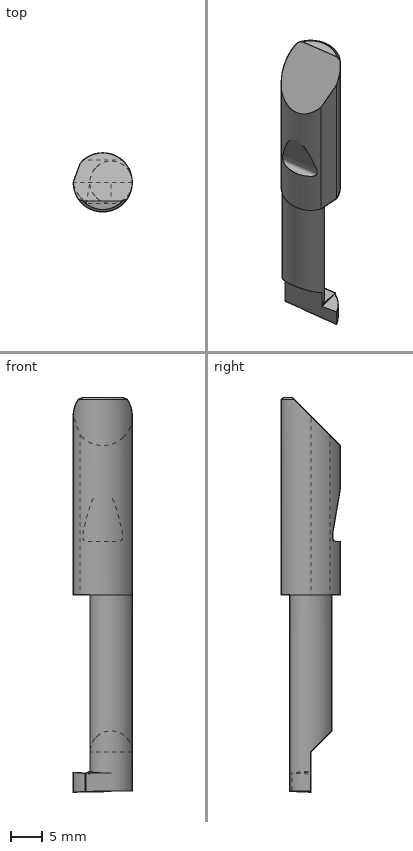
import cadquery as cq
import math

SHANK_DIAMETER = 9.525
SHANK_RADIUS = SHANK_DIAMETER / 2
SHANK_LENGTH = 31.75
OVERALL_LENGTH = 63.5
RIM_CHAMFER_RADIAL = 0.4
RIM_CHAMFER_HEIGHT = 0.3
FLAT_TILT = 20.0
BEVEL_START_Y = -2.98

NOTCH_FLOOR_HEIGHT = 8.6
NOTCH_DEPTH = 1.2
NOTCH_WALL_LENGTH = 1.4
NOTCH_TAPER_LENGTH = 7.0
NOTCH_CORNER_RADIUS = 0.5

NECK_DIAMETER = 6.83
NECK_RADIUS = NECK_DIAMETER / 2
NECK_CENTER_X = SHANK_RADIUS - NECK_RADIUS
NECK_END_GAP = 0.2
RELIEF_HEIGHT = 6.45

HEAD_WIDTH = 3.1
FLANK_RADIUS = SHANK_RADIUS
FLANK_END = (-2.86, -3.05)
FRONT_CORNER_X = -2.66
TIP_TOP_RISE = 0.1
LAND_TOP_DROP = 0.15
ROOT_TOP_RISE = 0.3
TIP_BOTTOM_RELIEF = 0.05
CORNER_BOTTOM_RELIEF = 0.15

SHANK_BOTTOM_Z = OVERALL_LENGTH - SHANK_LENGTH
MARGIN = 1.0


def side_prism(points):
    """Prism along X, wider than the part, over a polygon given in (Y, Z)."""
    return cq.Workplane("YZ").polyline(points).close().extrude(SHANK_DIAMETER, both=True)


def shank():
    body = cq.Workplane("XY").workplane(offset=SHANK_BOTTOM_Z).circle(SHANK_RADIUS).extrude(SHANK_LENGTH)
    body = body.faces(">Z").chamfer(RIM_CHAMFER_HEIGHT, RIM_CHAMFER_RADIAL)
    return body.cut(flat_cutter()).cut(bevel_cutter()).cut(notch_cutter())


def flat_cutter():
    """Block whose inner face cuts a flat running from Y = 0 towards +Y on the -X side."""
    flat_distance = SHANK_RADIUS * math.cos(math.radians(FLAT_TILT))
    block = cq.Workplane("XY").box(
        SHANK_RADIUS, SHANK_DIAMETER, SHANK_LENGTH + 2 * MARGIN, centered=(False, True, False)
    )
    block = block.translate((flat_distance, 0, SHANK_BOTTOM_Z - MARGIN))
    return block.rotate((0, 0, 0), (0, 0, 1), 180 - FLAT_TILT)


def bevel_cutter():
    run = SHANK_RADIUS + MARGIN - BEVEL_START_Y
    far_y = BEVEL_START_Y + run
    return side_prism(
        [
            (BEVEL_START_Y - MARGIN, OVERALL_LENGTH + MARGIN),
            (far_y, OVERALL_LENGTH + MARGIN),
            (far_y, OVERALL_LENGTH - run),
        ]
    )


def notch_cutter():
    floor_z = SHANK_BOTTOM_Z + NOTCH_FLOOR_HEIGHT
    bottom_y = SHANK_RADIUS - NOTCH_DEPTH
    wall_top_z = floor_z + NOTCH_WALL_LENGTH
    cutter = side_prism(
        [
            (SHANK_RADIUS + MARGIN, floor_z),
            (bottom_y, floor_z),
            (bottom_y, wall_top_z),
            (SHANK_RADIUS, wall_top_z + NOTCH_TAPER_LENGTH),
            (SHANK_RADIUS + MARGIN, wall_top_z + NOTCH_TAPER_LENGTH),
        ]
    )
    corner = cq.selectors.NearestToPointSelector((0, bottom_y, floor_z))
    return cutter.edges(corner).fillet(NOTCH_CORNER_RADIUS)


def neck():
    body = (
        cq.Workplane("XY")
        .workplane(offset=NECK_END_GAP)
        .center(NECK_CENTER_X, 0)
        .circle(NECK_RADIUS)
        .extrude(SHANK_BOTTOM_Z - NECK_END_GAP)
    )
    runout = NECK_RADIUS + MARGIN
    relief = side_prism([(0, -MARGIN), (runout, -MARGIN), (runout, RELIEF_HEIGHT + runout), (0, RELIEF_HEIGHT)])
    return body.cut(relief)


def beyond_plane(first, second, third):
    """Box, wider than the head, on the side of a plane from which its three points run anticlockwise."""
    origin = cq.Vector(*first)
    along = cq.Vector(*second) - origin
    normal = along.cross(cq.Vector(*third) - origin)
    plane = cq.Plane(origin=first, xDir=along.toTuple(), normal=normal.toTuple())
    reach = 2 * SHANK_DIAMETER
    return cq.Workplane(plane).rect(2 * reach, 2 * reach).extrude(reach)


def cutting_head():
    """Tip land and root side by side, each with its own sloping top, over a relieved bottom."""
    tip = (-SHANK_RADIUS, 0)
    corner = (FRONT_CORNER_X, -NECK_RADIUS)
    front_end = (NECK_CENTER_X, -NECK_RADIUS)
    neck_edge = (NECK_CENTER_X - NECK_RADIUS, 0)
    stock_height = HEAD_WIDTH + MARGIN

    land = cq.Workplane("XY").moveTo(*neck_edge).lineTo(*tip).radiusArc(FLANK_END, -FLANK_RADIUS)
    land = land.lineTo(*corner).close().extrude(stock_height)
    land_top = beyond_plane(
        (*tip, HEAD_WIDTH + TIP_TOP_RISE),
        (*corner, HEAD_WIDTH),
        (*neck_edge, HEAD_WIDTH - LAND_TOP_DROP),
    )

    root = cq.Workplane("XY").polyline([neck_edge, corner, front_end, (NECK_CENTER_X, 0)]).close()
    root = root.extrude(stock_height)
    root_top = beyond_plane(
        (*neck_edge, HEAD_WIDTH + ROOT_TOP_RISE),
        (*corner, HEAD_WIDTH),
        (*front_end, HEAD_WIDTH),
    )

    bottom = beyond_plane(
        (*tip, 0),
        (*neck_edge, TIP_BOTTOM_RELIEF),
        (*corner, CORNER_BOTTOM_RELIEF),
    )
    return land.cut(land_top).union(root.cut(root_top)).cut(bottom)


result = shank().union(neck()).union(cutting_head())